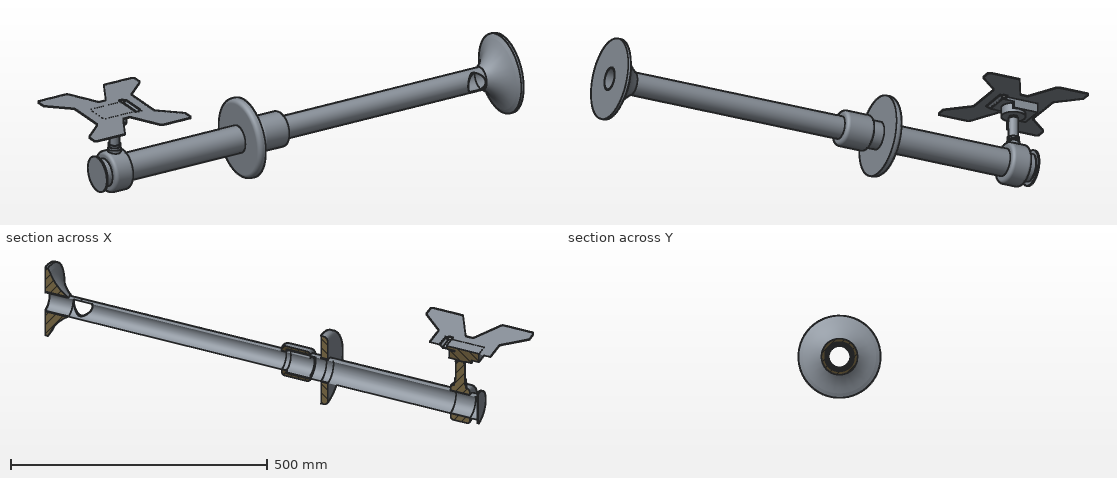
import cadquery as cq


total_length = 995.0
plate_side = 220.0
plate_top = 130.0
plate_thickness = 2.0
mount_depth = total_length - plate_side / 2

flange_radius = 81.0
flange_rim = 6.0
flange_bevel_depth = 11.0
flange_bevel_radius = 72.0
flange_depth = 50.0
flange_curve_depth = 27.0
flange_curve_radius = 44.0

inner_tube_radius = 23.0
tube_wall = 2.0
cable_hole_radius = 20.0
cable_hole_depth = 72.0
outer_tube_radius = 28.0
outer_tube_end = 921.0

collar_start = 504.0
collar_length = 61.0
collar_radius = 36.0
collar_lip = 10.0
ring_fillet = 7.0

disc_start = 588.0
disc_thickness = 15.0
disc_radius = flange_radius
disc_fillet = 9.0

cap_thickness = 3.0
cap_radius = 36.0

clamp_length = 42.0
clamp_radius = 42.0
boss_radius = 13.0
boss_shoulder = 47.0
boss_top = 50.0
stem_radius = 10.0
stem_foot_chamfer = 2.0
stem_collar_top = 57.0
stem_collar_radius = 12.0
stem_top = 98.0
neck_radius = 8.0

puck_radius = 24.0
puck_bottom = 102.0
puck_top = 121.0
box_width = 53.0
box_bottom = 109.0
box_back = mount_depth - 12.0
box_front = mount_depth + 40.0
tongue_top_width = 62.0
tongue_back = mount_depth - 45.0
tongue_height = 6.0
tongue_ramp_drop = 3.0

arm_tip = 86.0
waist_half_width = 44.0
waist_half_depth = 65.0
arm_side = 42.0
notch_half_width = 46.0
notch_half_depth = 8.0
plate_corner_fillet = 5.0

slot_back = mount_depth - 43.0
slot_ramp_end = mount_depth - 37.0
slot_front = mount_depth - 29.0
slot_back_width = box_width
slot_front_width = 64.0


def rod(radius, start, length):
    """Solid cylinder on the pole axis, from depth `start` towards -Y."""
    plane = cq.Workplane("XZ", origin=(0, -start, 0))
    return plane.circle(radius).extrude(length)


def upright(radius, bottom, top):
    """Solid vertical cylinder on the mount axis."""
    plane = cq.Workplane("XY", origin=(0, -mount_depth, bottom))
    return plane.circle(radius).extrude(top - bottom)


def make_flange():
    profile = (
        cq.Workplane("XY")
        .moveTo(inner_tube_radius, 0)
        .lineTo(flange_radius, 0)
        .lineTo(flange_radius, -flange_rim)
        .lineTo(flange_bevel_radius, -flange_bevel_depth)
        .threePointArc((flange_curve_radius, -flange_curve_depth), (inner_tube_radius, -flange_depth))
        .close()
    )
    return profile.revolve(360, (0, 0, 0), (0, 1, 0))


def make_inner_tube():
    length = collar_start + collar_length
    tube = rod(inner_tube_radius, 0, length).cut(rod(inner_tube_radius - tube_wall, 0, length))
    hole = (
        cq.Workplane("YZ", origin=(0, -cable_hole_depth, 0))
        .circle(cable_hole_radius)
        .extrude(2 * inner_tube_radius)
    )
    return tube.cut(hole)


def make_collar():
    collar = rod(collar_radius, collar_start, collar_length).edges().fillet(ring_fillet)
    collar = collar.cut(rod(inner_tube_radius, collar_start, collar_length))
    return collar.cut(rod(outer_tube_radius, collar_start + collar_lip, collar_length))


def make_cover_disc():
    disc = rod(disc_radius, disc_start, disc_thickness).faces("<Y").edges().fillet(disc_fillet)
    return disc.cut(rod(outer_tube_radius, disc_start, disc_thickness))


def make_outer_tube():
    start = collar_start + collar_lip
    length = outer_tube_end - start
    bore = rod(outer_tube_radius - tube_wall, start, length)
    return rod(outer_tube_radius, start, length).cut(bore)


def make_end_cap():
    return rod(cap_radius, outer_tube_end, cap_thickness)


def make_clamp():
    start = mount_depth - clamp_length / 2
    clamp = rod(clamp_radius, start, clamp_length).edges().fillet(ring_fillet)
    boss = upright(boss_radius, 0, boss_top).faces(">Z").edges().chamfer(
        boss_top - boss_shoulder, boss_radius - stem_radius
    )
    stem_collar = upright(stem_collar_radius, boss_top, stem_collar_top)
    stem_collar = stem_collar.faces("<Z").edges().chamfer(stem_foot_chamfer)
    stem = upright(stem_radius, stem_collar_top, stem_top)
    neck = upright(neck_radius, stem_top, puck_bottom)
    clamp = clamp.union(boss).union(stem_collar).union(stem).union(neck)
    return clamp.cut(rod(outer_tube_radius, start, clamp_length))


def make_plate():
    half = plate_side / 2
    quarter = [
        (notch_half_width, notch_half_depth),
        (half, arm_side),
        (half, half),
        (arm_tip, half),
        (waist_half_width, waist_half_depth),
    ]
    back = quarter + [(-x, y) for x, y in reversed(quarter)]
    front = [(-x, -y) for x, y in back]
    plate = (
        cq.Workplane("XY", origin=(0, -mount_depth, plate_top - plate_thickness))
        .polyline(back + front)
        .close()
        .extrude(plate_thickness)
    )
    return plate.edges("|Z").fillet(plate_corner_fillet)


def make_slot():
    outline = [
        (-slot_back_width / 2, -slot_back),
        (slot_back_width / 2, -slot_back),
        (slot_front_width / 2, -slot_ramp_end),
        (slot_front_width / 2, -slot_front),
        (-slot_front_width / 2, -slot_front),
        (-slot_front_width / 2, -slot_ramp_end),
    ]
    plane = cq.Workplane("XY", origin=(0, 0, plate_top - plate_thickness))
    return plane.polyline(outline).close().extrude(plate_thickness)


def make_tongue():
    """Flared tongue below the slot, with a ramp open from above and a slab that joins it to the box."""
    top = plate_top - plate_thickness
    bottom = top - tongue_height
    ramp_floor = top - tongue_ramp_drop
    side_outline = [
        (-tongue_back, top),
        (-slot_back, top),
        (-slot_ramp_end, ramp_floor),
        (-slot_front, ramp_floor),
        (-slot_front, bottom),
        (-slot_ramp_end, bottom),
    ]
    end_outline = [
        (-tongue_top_width / 2, top),
        (tongue_top_width / 2, top),
        (box_width / 2, bottom),
        (-box_width / 2, bottom),
    ]
    side_shape = cq.Workplane("YZ").polyline(side_outline).close().extrude(tongue_top_width / 2, both=True)
    end_plane = cq.Workplane("XZ", origin=(0, -tongue_back, 0))
    end_shape = end_plane.polyline(end_outline).close().extrude(slot_front - tongue_back)
    slab_corner = cq.Workplane("XY", origin=(-box_width / 2, -box_back, bottom))
    slab = slab_corner.box(box_width, box_back - slot_front, tongue_height, centered=False)
    return side_shape.intersect(end_shape).union(slab)


def make_box():
    height = plate_top - plate_thickness - box_bottom
    corner = cq.Workplane("XY", origin=(-box_width / 2, -box_front, box_bottom))
    return corner.box(box_width, box_front - box_back, height, centered=False)


def make_mount():
    puck = upright(puck_radius, puck_bottom, puck_top)
    plate = make_plate().cut(make_slot())
    return plate.union(make_box()).union(puck).union(make_tongue())


flange = make_flange()
inner_tube = make_inner_tube()
collar = make_collar()
cover_disc = make_cover_disc()
outer_tube = make_outer_tube()
end_cap = make_end_cap()
clamp = make_clamp()
mount = make_mount()

result = cq.Compound.makeCompound(
    [
        flange.val(),
        inner_tube.val(),
        collar.val(),
        cover_disc.val(),
        outer_tube.val(),
        end_cap.val(),
        clamp.val(),
        mount.val(),
    ]
)